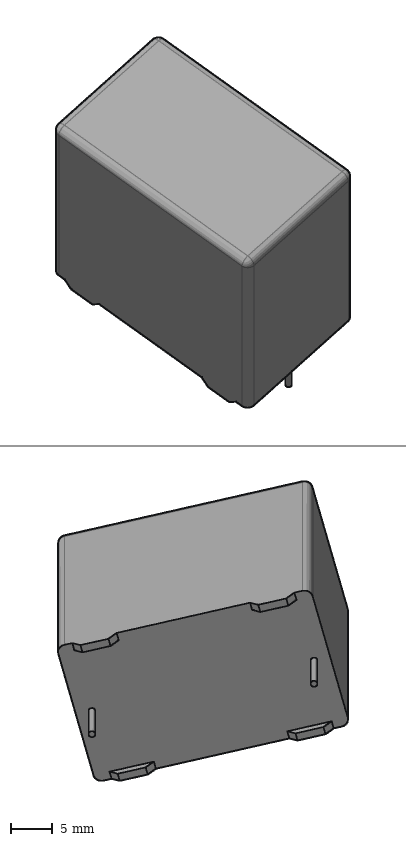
import cadquery as cq


case_length = 31.5
case_width = 19.0
overall_height = 35.0
lead_length = 6.0
case_height = overall_height - lead_length
edge_radius = 1.0

foot_height = 1.0
foot_depth = edge_radius
foot_outer_x = 13.75
foot_inner_x = 8.25
foot_slope_run = foot_height

lead_pitch = 27.5
lead_diameter = 0.8


def make_case():
    """Box with rounded upright and top edges and a sharp-edged underside."""
    box = cq.Workplane("XY").box(case_length, case_width, case_height, centered=(True, True, False))
    return box.edges("|Z or >Z").fillet(edge_radius)


def make_foot(side_x, side_y):
    """Trapezoidal foot, narrowing downwards, on one corner of the underside."""
    profile = [
        (side_x * foot_inner_x, 0),
        (side_x * foot_outer_x, 0),
        (side_x * (foot_outer_x - foot_slope_run), -foot_height),
        (side_x * (foot_inner_x + foot_slope_run), -foot_height),
    ]
    outer_face_y = side_y * case_width / 2
    return (
        cq.Workplane("XZ", origin=(0, outer_face_y, 0))
        .polyline(profile)
        .close()
        .extrude(side_y * foot_depth)
    )


def make_lead(side_x):
    """Round wire lead hanging from the underside."""
    return (
        cq.Workplane("XY")
        .center(side_x * lead_pitch / 2, 0)
        .circle(lead_diameter / 2)
        .extrude(-lead_length)
    )


result = make_case()
for side_x in (-1, 1):
    result = result.union(make_lead(side_x))
    for side_y in (-1, 1):
        result = result.union(make_foot(side_x, side_y))